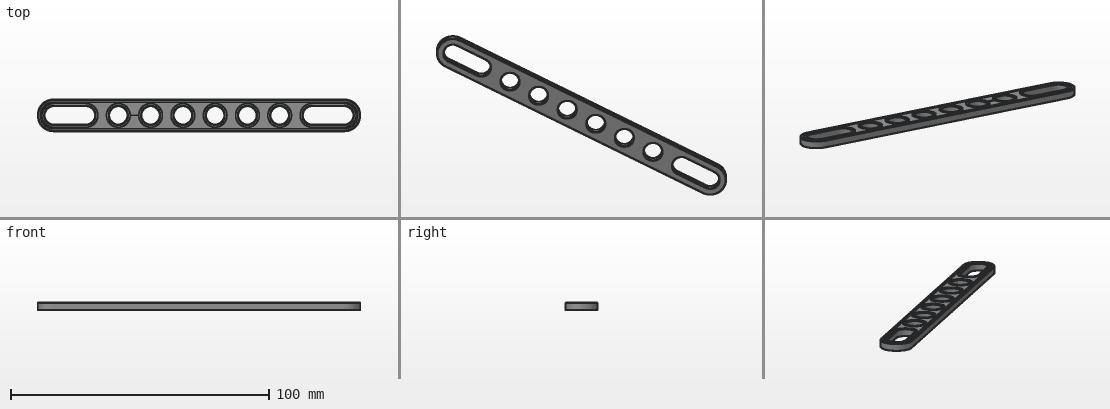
import cadquery as cq

pitch = 12.5
length = 10 * pitch
width = pitch
thickness = pitch / 4
edge_chamfer = 0.3

hole_diameter = 7.0
hole_count = 6
slot_travel = pitch
slot_offset = 4 * pitch

panel_depth = 0.2
border_width = 1.1
ring_diameter = 9.2

rib_width = 0.1

panel_floor = thickness - panel_depth
hole_centers = [((i - (hole_count - 1) / 2) * pitch, 0) for i in range(hole_count)]
slot_centers = [(-slot_offset, 0), (slot_offset, 0)]


def capsule(capsule_length, capsule_width, bottom, top):
    """Round-ended bar along X, centred on the strip, between two heights."""
    plane = cq.Workplane("XY").workplane(offset=bottom)
    return plane.slot2D(capsule_length, capsule_width).extrude(top - bottom)


def opening_prisms(diameter, bottom, top):
    """Cylinders and slot prisms at every opening, between two heights."""
    plane = cq.Workplane("XY").workplane(offset=bottom)
    height = top - bottom
    cylinders = plane.pushPoints(hole_centers).circle(diameter / 2).extrude(height)
    slots = plane.pushPoints(slot_centers).slot2D(slot_travel + diameter, diameter).extrude(height)
    return cylinders.union(slots)


def strip():
    """Plain strip with its outline chamfered on both faces and all openings cut."""
    outline = capsule(length, width, 0, thickness)
    pierced = outline.cut(opening_prisms(hole_diameter, 0, thickness))
    return pierced.faces("<Z or >Z").edges().chamfer(edge_chamfer)


def rib():
    """Bar between the centres of the first two holes, as tall as the panel is deep."""
    start, end = hole_centers[0][0], hole_centers[1][0]
    plane = cq.Workplane("XY").workplane(offset=panel_floor)
    return plane.center((start + end) / 2, 0).rect(end - start, rib_width).extrude(panel_depth)


def panel():
    """Material removed from the top face; the rings and the rib stay standing."""
    recess = capsule(length - 2 * border_width, width - 2 * border_width, panel_floor, thickness)
    return recess.cut(opening_prisms(ring_diameter, panel_floor, thickness)).cut(rib())


result = strip().cut(panel())